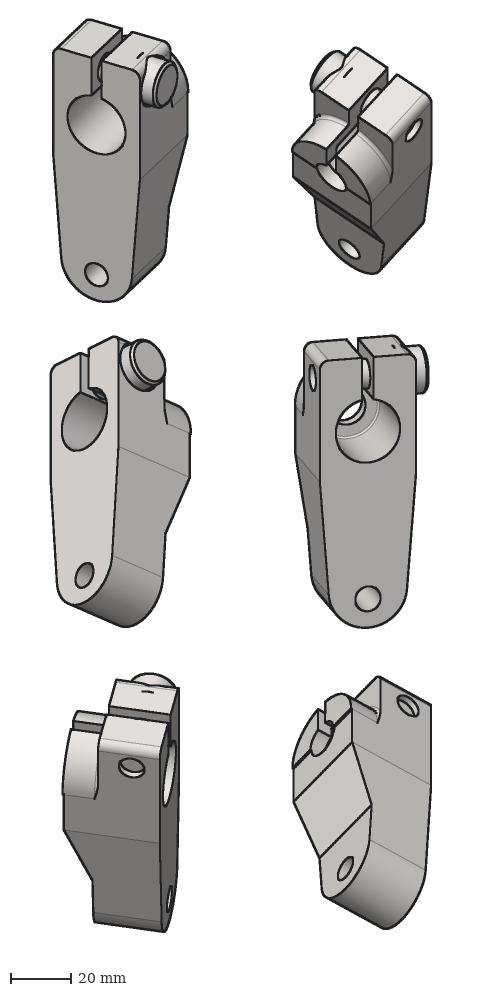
import cadquery as cq
import math

height = 94.3
width = 33.0
half_width = width / 2
depth = 33.0
corner_radius = 3.0

tip_radius = 13.5
tip_center_z = tip_radius
taper_start_z = 52.15
arm_depth = 23.2
clamp_depth = 32.5
ramp_bottom_z = 28.6
top_depth = 20.9

bore_z = height - 25.65
bore_radius = 6.3
recess_radius = 11.0
recess_depth = 27.4
recess_floor_fillet = 0.7
boss_fillet = 1.2
slot_width = 4.0

pivot_z = 10.1
pivot_radius = 4.3

screw_y = 9.5
screw_z = height - 8.8
screw_radius = 5.0
screw_recess = 2.5
screw_end_x = screw_recess - half_width
screw_hole_radius = 4.3
head_radius = 8.0
head_projection = 5.0
head_chamfer = 0.9
seat_x = 11.3
counterbore_radius = 8.7


def cylinder_y(radius, z, start, end):
    """Cylinder along +Y between two depths."""
    return cq.Workplane("XZ", origin=(0, start, z)).circle(radius).extrude(start - end)


def cylinder_x(radius, start, end):
    """Cylinder along +X on the screw axis."""
    return cq.Workplane("YZ", origin=(start, screw_y, screw_z)).circle(radius).extrude(end - start)


def lever_outline():
    """Front outline with tapered sides tangent to the round tip, extruded to full depth."""
    rise = taper_start_z - tip_center_z
    reach = math.hypot(half_width, rise)
    angle = math.atan2(rise, half_width) - math.acos(tip_radius / reach)
    tangent_x = tip_radius * math.cos(angle)
    tangent_z = tip_center_z + tip_radius * math.sin(angle)
    return (
        cq.Workplane("XZ")
        .moveTo(-half_width, height)
        .lineTo(half_width, height)
        .lineTo(half_width, taper_start_z)
        .lineTo(tangent_x, tangent_z)
        .threePointArc((0, tip_center_z - tip_radius), (-tangent_x, tangent_z))
        .lineTo(-half_width, taper_start_z)
        .close()
        .extrude(-depth)
        .edges("|Y and >Z")
        .fillet(corner_radius)
    )


def side_profile():
    """Stepped back of the lever: thin tip, ramp, clamp hub and thinner top."""
    return (
        cq.Workplane("YZ", origin=(-half_width, 0, 0))
        .polyline([
            (0, 0),
            (arm_depth, 0),
            (arm_depth, ramp_bottom_z),
            (clamp_depth, taper_start_z),
            (clamp_depth, bore_z),
            (top_depth, bore_z),
            (top_depth, height),
            (0, height),
        ])
        .close()
        .extrude(width)
    )


def boss():
    """Upper half-round boss with a concave fillet at its foot, trimmed to the lever width."""
    foot = half_width + boss_fillet
    fillet_offset = boss_fillet * (1 - math.sqrt(0.5))
    profile = (
        cq.Workplane("XY", origin=(0, 0, bore_z))
        .moveTo(0, 0)
        .lineTo(foot, 0)
        .lineTo(foot, top_depth)
        .threePointArc(
            (half_width + fillet_offset, top_depth + fillet_offset),
            (half_width, top_depth + boss_fillet),
        )
        .lineTo(half_width, depth)
        .lineTo(0, depth)
        .close()
    )
    solid = profile.revolve(360, (0, 0, 0), (0, 1, 0))
    upper_half = cq.Workplane("XY", origin=(0, depth / 2, bore_z)).rect(width, depth).extrude(height - bore_z)
    return solid.intersect(upper_half)


def clamp_cuts():
    """Stepped bore and the slot that splits the clamp above it."""
    recess = cylinder_y(recess_radius, bore_z, 0, recess_depth).faces(">Y").edges().fillet(recess_floor_fillet)
    bore = cylinder_y(bore_radius, bore_z, 0, depth)
    slot = cq.Workplane("XY", origin=(0, depth / 2, bore_z)).rect(slot_width, depth).extrude(height - bore_z)
    return recess.union(bore).union(slot)


def screw():
    """Cap screw with a plain shank and a chamfered head."""
    shank = cylinder_x(screw_radius, screw_end_x, seat_x)
    head = cylinder_x(head_radius, seat_x, half_width + head_projection).faces(">X").chamfer(head_chamfer)
    return shank.union(head)


def screw_cuts():
    """Open hole beyond the screw end and the counterbore around the head."""
    end_hole = cylinder_x(screw_hole_radius, -half_width, screw_end_x)
    return end_hole.union(cylinder_x(counterbore_radius, seat_x, half_width))


pivot_hole = cylinder_y(pivot_radius, pivot_z, 0, arm_depth)
lever = lever_outline().intersect(side_profile()).union(boss())
result = lever.cut(clamp_cuts()).cut(pivot_hole).cut(screw_cuts()).union(screw())